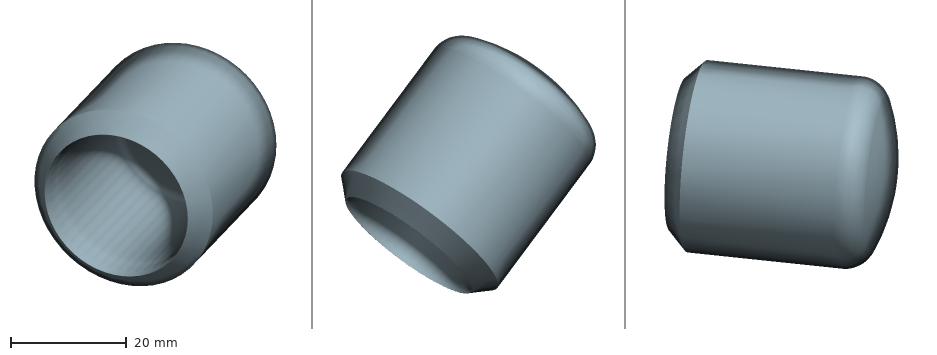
import cadquery as cq
import math

length = 38.1
outer_radius = 16.73
wall = 3.3
rim_chamfer = 3.28
dome_radius = 33.35
shoulder_radius = 5.0

dome_center_y = length - dome_radius
shoulder_center_x = outer_radius - shoulder_radius
shoulder_center_y = dome_center_y + math.sqrt(
    (dome_radius - shoulder_radius) ** 2 - shoulder_center_x ** 2
)
tangent_angle = math.acos(shoulder_center_x / (dome_radius - shoulder_radius))


def domed_body(offset):
    """Solid bounded by the outer surface moved inward by offset."""
    side_radius = outer_radius - offset
    corner_radius = shoulder_radius - offset
    apex_y = length - offset

    def shoulder_point(angle):
        return (
            shoulder_center_x + corner_radius * math.cos(angle),
            shoulder_center_y + corner_radius * math.sin(angle),
        )

    mid_dome_angle = (tangent_angle + math.pi / 2) / 2
    offset_dome_radius = dome_radius - offset
    mid_dome = (
        offset_dome_radius * math.cos(mid_dome_angle),
        dome_center_y + offset_dome_radius * math.sin(mid_dome_angle),
    )
    return (
        cq.Workplane("XY")
        .lineTo(side_radius, 0)
        .lineTo(side_radius, shoulder_center_y)
        .threePointArc(shoulder_point(tangent_angle / 2), shoulder_point(tangent_angle))
        .threePointArc(mid_dome, (0, apex_y))
        .close()
        .revolve(360, (0, 0, 0), (0, 1, 0))
    )


outer = domed_body(0).faces("<Y").chamfer(rim_chamfer)
result = outer.cut(domed_body(wall))